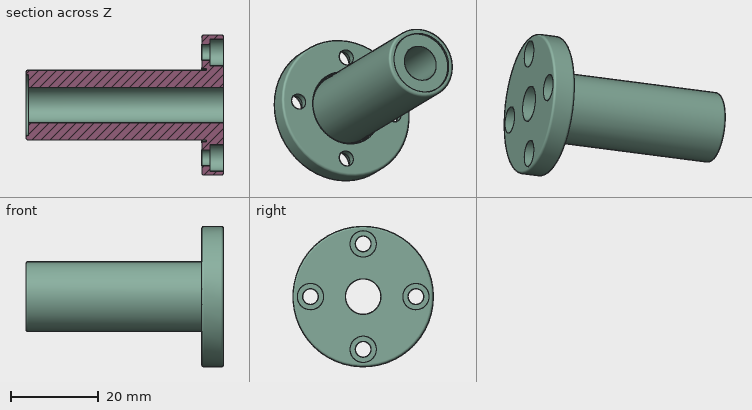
import cadquery as cq

total_length = 45.0
flange_diameter = 32.0
flange_thickness = 5.0
sleeve_diameter = 15.98
bore_diameter = 8.0
edge_radius = 0.55

recess_diameter = 13.75
recess_depth = 0.6

relief_diameter = 17.0
relief_depth = 1.0
relief_chamfer = 0.22

hole_count = 4
hole_diameter = 3.5
hole_circle_diameter = 24.0
counterbore_diameter = 6.0
counterbore_depth = 3.1

flange_face_x = total_length - flange_thickness


def cylinder(diameter, start_x, length):
    """Solid cylinder on the X axis, extending toward +X from start_x."""
    return cq.Workplane("YZ", origin=(start_x, 0, 0)).circle(diameter / 2).extrude(length)


def make_sleeve():
    sleeve = cylinder(sleeve_diameter, 0, total_length)
    return sleeve.faces("<X").edges().fillet(edge_radius)


def make_flange():
    flange = cylinder(flange_diameter, flange_face_x, flange_thickness)
    return flange.edges().fillet(edge_radius)


def make_relief():
    """Ring-shaped groove around the sleeve, sunk into the flange face, with a chamfered mouth."""
    mouth_radius = relief_diameter / 2
    wall_radius = mouth_radius - relief_chamfer
    floor_x = flange_face_x + relief_depth
    return (
        cq.Workplane("XY")
        .moveTo(flange_face_x, sleeve_diameter / 2)
        .lineTo(flange_face_x, mouth_radius)
        .lineTo(flange_face_x + relief_chamfer, wall_radius)
        .lineTo(floor_x, wall_radius)
        .lineTo(floor_x, sleeve_diameter / 2)
        .close()
        .revolve(360, (0, 0, 0), (1, 0, 0))
    )


def make_hole_ring(diameter, depth):
    """Ring of cylinders sunk into the flange from its outer (+X) face."""
    return (
        cq.Workplane("YZ", origin=(total_length, 0, 0))
        .polarArray(hole_circle_diameter / 2, 0, 360, hole_count)
        .circle(diameter / 2)
        .extrude(-depth)
    )


result = (
    make_sleeve()
    .union(make_flange())
    .cut(make_relief())
    .cut(cylinder(recess_diameter, 0, recess_depth))
    .cut(cylinder(bore_diameter, 0, total_length))
    .cut(make_hole_ring(hole_diameter, flange_thickness))
    .cut(make_hole_ring(counterbore_diameter, counterbore_depth))
)